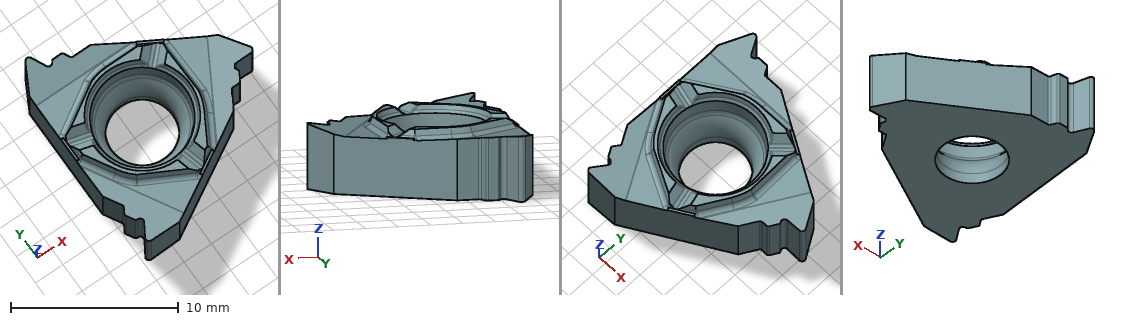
import cadquery as cq
import math

CORNERS = 3
CORNER_STEP = -360 / CORNERS

TOTAL_HEIGHT = 4.1
FLOOR_HEIGHT = 3.52
BOSS_HEIGHT = TOTAL_HEIGHT - FLOOR_HEIGHT
BLANK_RADIUS = 9.48

SIDE_DISTANCE = 4.75
FLANK_ANGLE = 61.8
TOOTH_TIP_X = -3.56
TOOTH_TIP_Y = 6.67
TOOTH_TIP_RADIUS = 0.23
NOTCH_Y = 5.98
NOTCH_RADIUS = 0.23
NOTCH_EXIT_ANGLE = 55.0
STEP_TOP_Y = 5.99
STEP_END_X = -1.63
STEP_START_ROUNDING = 0.11
STEP_END_ROUNDING = 0.16
SHOULDER_Y = 5.46

RAKE_START = 4.25
RAKE_ANGLE = 10.0
RAKE_BLEND_RADIUS = 0.2

BOSS_FRONT_DISTANCE = 3.7
BOSS_BACK_DISTANCE = 3.62
BOSS_BACK_NORMAL = 121.8
BOSS_END_DISTANCE = 4.31
BOSS_DRAFT = 25.0
BOSS_FILLET = 0.38

PAD_HEIGHT = 0.088
PAD_START = 4.54
PAD_SIDE_Y = 0.03
PAD_WIDTH = 1.65

GROOVE_DIRECTION = 165.0
GROOVE_WIDTH = 1.5
GROOVE_BOTTOM_WIDTH = 0.3
GROOVE_DEPTH = 0.49
GROOVE_FILLET = 0.33
GROOVE_MOUTH_ROUNDING = 0.11

HOLE_RADIUS = 4.4 / 2
RIM_RADIUS = 3.45
RIM_WALL_RADIUS = 3.32
RIM_WALL_DEPTH = 0.28
LEDGE_RADIUS = 3.13
LEDGE_DEPTH = 0.47
COUNTERBORE_RADIUS = 3.02
COUNTERBORE_DEPTH = 1.46
SEAT_RADIUS = 2.86
SEAT_DEPTH = 1.79
SEAT_END_DEPTH = 3.35


def unit(angle):
    """Unit vector in the XY plane at an angle in degrees."""
    return cq.Vector(math.cos(math.radians(angle)), math.sin(math.radians(angle)))


def crossing(normal_a, distance_a, normal_b, distance_b):
    """Point shared by two lines, each given by its normal angle and its distance from the origin."""
    a = unit(normal_a)
    b = unit(normal_b)
    determinant = a.x * b.y - a.y * b.x
    x = (distance_a * b.y - distance_b * a.y) / determinant
    y = (a.x * distance_b - b.x * distance_a) / determinant
    return cq.Vector(x, y)


def turned(point, angle):
    """Point turned about the Z axis."""
    along = unit(angle)
    return cq.Vector(point.x * along.x - point.y * along.y, point.x * along.y + point.y * along.x)


def at_each_corner(solid):
    """The solid repeated at every corner of the insert, as one workplane."""
    copies = cq.Workplane()
    for corner in range(CORNERS):
        copies = copies.add(solid.rotate((0, 0, 0), (0, 0, 1), corner * CORNER_STEP))
    return copies.combine()


def rounded_outline(workplane, corners):
    """Closed outline through (point, radius) corners, each rounded to its radius."""
    pieces = []
    for index, (point, radius) in enumerate(corners):
        to_previous = (corners[index - 1][0] - point).normalized()
        to_next = (corners[(index + 1) % len(corners)][0] - point).normalized()
        half_angle = to_previous.getAngle(to_next) / 2
        trim = radius / math.tan(half_angle)
        middle_reach = radius / math.sin(half_angle) - radius
        middle = point + (to_previous + to_next).normalized() * middle_reach
        pieces.append((radius, point + to_previous * trim, middle, point + to_next * trim))
    path = workplane.moveTo(*pieces[-1][3].toTuple()[:2])
    for radius, start, middle, end in pieces:
        path = path.lineTo(start.x, start.y)
        if radius:
            path = path.threePointArc((middle.x, middle.y), (end.x, end.y))
    return path.close()


def corner_profile():
    """Outline corners of the tooth at +Y, from the -X side round to the next side."""
    tip = cq.Vector(TOOTH_TIP_X, TOOTH_TIP_Y)
    leading = 90 + FLANK_ANGLE
    trailing = 90 - FLANK_ANGLE
    leading_distance = tip.dot(unit(leading)) + TOOTH_TIP_RADIUS
    trailing_distance = tip.dot(unit(trailing)) + TOOTH_TIP_RADIUS

    notch_center = crossing(trailing, trailing_distance + NOTCH_RADIUS, 90, NOTCH_Y)
    notch_exit = NOTCH_EXIT_ANGLE - 90
    notch_exit_distance = notch_center.dot(unit(notch_exit)) + NOTCH_RADIUS

    step_end = cq.Vector(STEP_END_X, STEP_TOP_Y)
    step_end_distance = step_end.dot(unit(trailing))
    return [
        (crossing(180, SIDE_DISTANCE, leading, leading_distance), 0),
        (crossing(leading, leading_distance, trailing, trailing_distance), TOOTH_TIP_RADIUS),
        (crossing(trailing, trailing_distance, notch_exit, notch_exit_distance), NOTCH_RADIUS),
        (crossing(notch_exit, notch_exit_distance, 90, STEP_TOP_Y), STEP_START_ROUNDING),
        (step_end, STEP_END_ROUNDING),
        (crossing(trailing, step_end_distance, 90, SHOULDER_Y), STEP_END_ROUNDING),
        (crossing(90, SHOULDER_Y, 180 + CORNER_STEP, SIDE_DISTANCE), 0),
    ]


def insert_prism():
    """Full-height prism of the insert outline."""
    corners = []
    for corner in range(CORNERS):
        for point, radius in corner_profile():
            corners.append((turned(point, corner * CORNER_STEP), radius))
    return rounded_outline(cq.Workplane("XY"), corners).extrude(TOTAL_HEIGHT)


def boss_outline():
    """Top outline of the boss: an arc, a straight back side and a short end side for each corner."""
    arc_end = BOSS_BACK_NORMAL - math.degrees(math.acos(BOSS_BACK_DISTANCE / BOSS_FRONT_DISTANCE))
    arc_points = [unit(angle) * BOSS_FRONT_DISTANCE for angle in (90, (90 + arc_end) / 2, arc_end)]
    end_points = [
        crossing(BOSS_BACK_NORMAL, BOSS_BACK_DISTANCE, 180, BOSS_END_DISTANCE),
        crossing(180, BOSS_END_DISTANCE, 90 - CORNER_STEP, BOSS_FRONT_DISTANCE),
    ]
    first = arc_points[0]
    path = cq.Workplane("XY", origin=(0, 0, TOTAL_HEIGHT)).moveTo(first.x, first.y)
    for corner in range(CORNERS):
        angle = -corner * CORNER_STEP
        start, middle, end = [turned(point, angle) for point in arc_points]
        if corner > 0:
            path = path.lineTo(start.x, start.y)
        path = path.threePointArc((middle.x, middle.y), (end.x, end.y))
        for point in end_points:
            outline_point = turned(point, angle)
            path = path.lineTo(outline_point.x, outline_point.y)
    return path.close()


def blank_with_boss():
    """Flat blank carrying the drafted boss, with a fillet where the boss meets the floor."""
    boss = boss_outline().extrude(-BOSS_HEIGHT, taper=-BOSS_DRAFT)
    blank = cq.Workplane("XY").circle(BLANK_RADIUS).extrude(FLOOR_HEIGHT).union(boss)
    floor = blank.faces("+Z").faces("<Z").val()
    base_edges = floor.innerWires()[0].Edges()
    return blank.newObject(base_edges).fillet(BOSS_FILLET)


def rake_ramps():
    """Wedges on the floor that rise from a rounded crease to each tooth."""
    slope = unit(RAKE_ANGLE)
    half = unit(RAKE_ANGLE / 2)
    blend = (RAKE_START + RAKE_BLEND_RADIUS * slope.y, FLOOR_HEIGHT + RAKE_BLEND_RADIUS * (1 - slope.x))
    blend_middle = (RAKE_START + RAKE_BLEND_RADIUS * half.y, FLOOR_HEIGHT + RAKE_BLEND_RADIUS * (1 - half.x))
    far_height = blend[1] + (BLANK_RADIUS - blend[0]) * math.tan(math.radians(RAKE_ANGLE))
    ramp = (
        cq.Workplane("YZ")
        .moveTo(RAKE_START, 0)
        .lineTo(RAKE_START, FLOOR_HEIGHT)
        .threePointArc(blend_middle, blend)
        .lineTo(BLANK_RADIUS, far_height)
        .lineTo(BLANK_RADIUS, 0)
        .close()
        .extrude(BLANK_RADIUS, both=True)
    )
    return at_each_corner(ramp)


def end_pads():
    """Low flat pads that carry the floor up a little at the short ends of the boss."""
    pad = cq.Workplane("XY").box(
        BLANK_RADIUS - PAD_START, PAD_WIDTH, FLOOR_HEIGHT + PAD_HEIGHT, centered=False
    )
    return at_each_corner(pad.translate((-BLANK_RADIUS, PAD_SIDE_Y, 0)))


def boss_grooves():
    """Radial grooves with sloping flanks and a filleted narrow bottom."""
    bottom_height = TOTAL_HEIGHT - GROOVE_DEPTH
    groove = (
        cq.Workplane("YZ")
        .moveTo(-GROOVE_WIDTH / 2, TOTAL_HEIGHT)
        .lineTo(-GROOVE_BOTTOM_WIDTH / 2, bottom_height)
        .lineTo(GROOVE_BOTTOM_WIDTH / 2, bottom_height)
        .lineTo(GROOVE_WIDTH / 2, TOTAL_HEIGHT)
        .close()
        .extrude(BLANK_RADIUS)
        .faces("<Z")
        .edges("|X")
        .fillet(GROOVE_FILLET)
        .rotate((0, 0, 0), (0, 0, 1), GROOVE_DIRECTION)
    )
    return at_each_corner(groove)


def screw_hole():
    """Stepped rim, counterbore, rounded screw seat and through hole, turned about the Z axis."""
    return (
        cq.Workplane("XZ")
        .moveTo(0, TOTAL_HEIGHT)
        .lineTo(RIM_RADIUS, TOTAL_HEIGHT)
        .lineTo(RIM_WALL_RADIUS, TOTAL_HEIGHT - RIM_WALL_DEPTH)
        .tangentArcPoint((LEDGE_RADIUS, TOTAL_HEIGHT - LEDGE_DEPTH), relative=False)
        .lineTo(COUNTERBORE_RADIUS, TOTAL_HEIGHT - COUNTERBORE_DEPTH)
        .tangentArcPoint((SEAT_RADIUS, TOTAL_HEIGHT - SEAT_DEPTH), relative=False)
        .tangentArcPoint((HOLE_RADIUS, TOTAL_HEIGHT - SEAT_END_DEPTH), relative=False)
        .lineTo(HOLE_RADIUS, 0)
        .lineTo(0, 0)
        .close()
        .revolve(360, (0, 0, 0), (0, 1, 0))
    )


def is_groove_mouth(edge):
    """True for the short edges where the groove flanks open into the rim wall."""
    center = edge.Center()
    radius = math.hypot(center.x, center.y)
    above_ledge = TOTAL_HEIGHT - LEDGE_DEPTH < center.z < TOTAL_HEIGHT
    return LEDGE_RADIUS < radius < RIM_RADIUS and above_ledge


body = blank_with_boss().cut(boss_grooves()).union(rake_ramps()).union(end_pads())
body = body.intersect(insert_prism()).cut(screw_hole())
result = body.edges().filter(is_groove_mouth).fillet(GROOVE_MOUTH_ROUNDING)